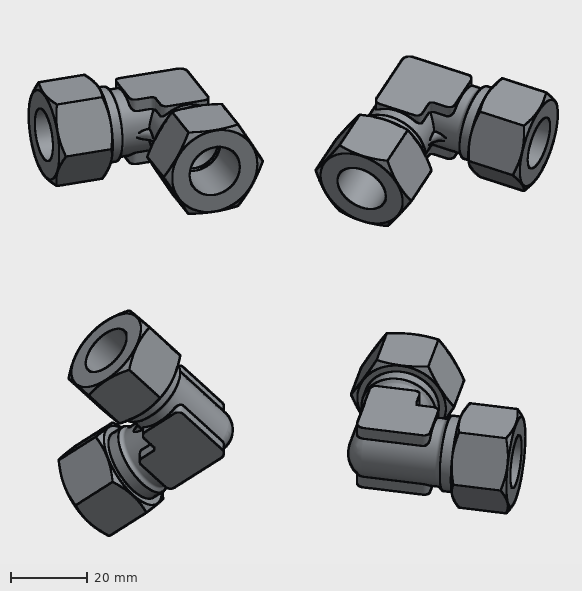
import cadquery as cq
import math


overall_length = 48.85

nut_flats = 24.0
hexagon_sides = 6
nut_corner_radius = nut_flats / math.sqrt(3)
arm_length = overall_length - nut_corner_radius
nut_length = 14.95
nut_start = arm_length - nut_length
nut_face_radius = 11.85
nut_chamfer_angle = math.radians(30)
nut_chamfer_length = (nut_corner_radius - nut_face_radius) * math.tan(nut_chamfer_angle)

arm_radius = 9.0
collar_radius = 10.0
collar_start = 16.7
collar_slope = math.radians(45)
neck_fillet = 1.0

outer_bend_radius = 4.5
tube_overrun = arm_radius - outer_bend_radius
inner_bend_radius = 4.0
inner_bead_radius = 1.45

pad_top = 9.5
pad_half_width = 6.65
pad_end = 13.05
pad_end_radius = 1.6
pad_notch_radius = 1.0
pad_heel_radius = outer_bend_radius - (arm_radius - pad_half_width)

tube_radius = 7.0
bore_radius = 6.5
seat_angle = math.radians(45)
seat_start = nut_start - (tube_radius - bore_radius) / math.tan(seat_angle)
drill_tip_half_angle = math.radians(60)
drill_tip_length = bore_radius / math.tan(drill_tip_half_angle)


def revolve_about_x(profile):
    """Turn a closed profile of (distance along X, radius) about the X axis."""
    return profile.close().revolve(360, (0, 0, 0), (1, 0, 0))


def both_arms(shape):
    """Join a shape on the +X arm with its copy turned onto the -Y arm."""
    return shape.union(shape.rotate((0, 0, 0), (0, 0, 1), -90))


def make_arm():
    """Tube with a filleted cone leading up to the collar under the nut."""
    fillet_run = neck_fillet * math.sin(collar_slope)
    fillet_rise = neck_fillet * (1 - math.cos(collar_slope))
    cone_run = (collar_radius - arm_radius - fillet_rise) / math.tan(collar_slope)
    cone_start = collar_start - cone_run
    fillet_start = cone_start - fillet_run
    half_slope = collar_slope / 2
    fillet_middle = (
        fillet_start + neck_fillet * math.sin(half_slope),
        arm_radius + neck_fillet * (1 - math.cos(half_slope)),
    )
    profile = (
        cq.Workplane("XY")
        .moveTo(-tube_overrun, 0)
        .lineTo(-tube_overrun, arm_radius)
        .lineTo(fillet_start, arm_radius)
        .threePointArc(fillet_middle, (cone_start, arm_radius + fillet_rise))
        .lineTo(collar_start, collar_radius)
        .lineTo(nut_start, collar_radius)
        .lineTo(nut_start, 0)
    )
    return revolve_about_x(profile)


def make_heel():
    """Round outer corner: the half of a tube beyond the bend axis, swung around that axis."""
    half_height = math.sqrt(arm_radius**2 - tube_overrun**2)
    return (
        cq.Workplane("XZ", origin=(-tube_overrun, tube_overrun, 0))
        .moveTo(0, -half_height)
        .threePointArc((-outer_bend_radius, 0), (0, half_height))
        .close()
        .revolve(90, (0, 0, 0), (0, -1, 0))
    )


def make_inner_bead():
    """Round bead that follows the inner corner between the two tubes."""
    bend_center = arm_radius + inner_bend_radius
    path_radius = inner_bend_radius + inner_bead_radius
    return (
        cq.Workplane("XZ", origin=(bend_center, -bend_center, 0))
        .moveTo(-path_radius, 0)
        .circle(inner_bead_radius)
        .revolve(90, (0, 0, 0), (0, -1, 0))
    )


def make_pads():
    """L-shaped slab whose flat faces stand out above and below the tubes."""
    corners = [
        (-pad_half_width, pad_half_width),
        (pad_end, pad_half_width),
        (pad_end, -pad_half_width),
        (pad_half_width, -pad_half_width),
        (pad_half_width, -pad_end),
        (-pad_half_width, -pad_end),
    ]
    corner_radii = [
        pad_heel_radius,
        pad_end_radius,
        pad_end_radius,
        pad_notch_radius,
        pad_end_radius,
        pad_end_radius,
    ]
    pads = cq.Workplane("XY").polyline(corners).close().extrude(pad_top, both=True)
    for (x, y), radius in zip(corners, corner_radii):
        pads = pads.edges(cq.selectors.NearestToPointSelector((x, y, 0))).fillet(radius)
    return pads


def make_nut():
    """Hexagon with flats facing up and down and both ends chamfered to a circle."""
    hexagon = (
        cq.Workplane("YZ")
        .workplane(offset=nut_start)
        .polygon(hexagon_sides, 2 * nut_corner_radius)
        .extrude(nut_length)
    )
    chamfer_envelope = revolve_about_x(
        cq.Workplane("XY")
        .moveTo(nut_start, 0)
        .lineTo(nut_start, nut_face_radius)
        .lineTo(nut_start + nut_chamfer_length, nut_corner_radius)
        .lineTo(arm_length - nut_chamfer_length, nut_corner_radius)
        .lineTo(arm_length, nut_face_radius)
        .lineTo(arm_length, 0)
    )
    return hexagon.intersect(chamfer_envelope)


def make_bore():
    """Tube socket, conical seat, narrower bore and a drill tip past the crossing of the axes."""
    return revolve_about_x(
        cq.Workplane("XY")
        .moveTo(-drill_tip_length, 0)
        .lineTo(0, bore_radius)
        .lineTo(seat_start, bore_radius)
        .lineTo(nut_start, tube_radius)
        .lineTo(arm_length, tube_radius)
        .lineTo(arm_length, 0)
    )


body = both_arms(make_arm()).union(make_heel()).union(make_inner_bead()).union(make_pads())
result = body.union(both_arms(make_nut())).cut(both_arms(make_bore()))